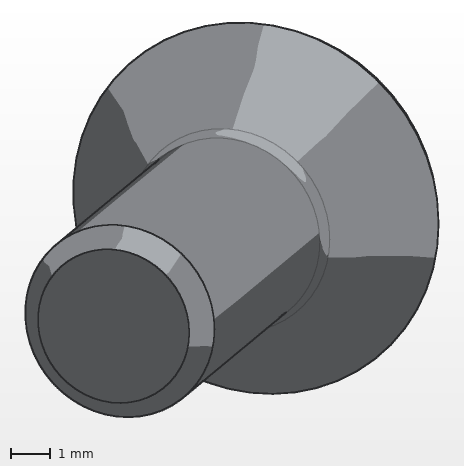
import cadquery as cq
import math

length = 12.0
head_diameter = 9.66
shank_diameter = 5.0
rim_height = 0.37
rim_inset = 0.13
cone_half_angle = 45.0
neck_radius = 0.5
tip_chamfer = 0.5

head_radius = head_diameter / 2
shank_radius = shank_diameter / 2
cone_angle = math.radians(cone_half_angle)

cone_height = (head_radius - shank_radius) / math.tan(cone_angle)
neck_end_y = -(rim_height + cone_height + neck_radius * math.tan(cone_angle / 2))
neck_center_radius = shank_radius + neck_radius


def neck_point(angle):
    """Point on the neck arc, with the angle measured from its shank end."""
    return (
        neck_center_radius - neck_radius * math.cos(angle),
        neck_end_y + neck_radius * math.sin(angle),
    )


result = (
    cq.Workplane("XY")
    .moveTo(0, 0)
    .lineTo(head_radius - rim_inset, 0)
    .lineTo(head_radius, -rim_height)
    .lineTo(*neck_point(cone_angle))
    .threePointArc(neck_point(cone_angle / 2), neck_point(0))
    .lineTo(shank_radius, -length + tip_chamfer)
    .lineTo(shank_radius - tip_chamfer, -length)
    .lineTo(0, -length)
    .close()
    .revolve(360, (0, 0, 0), (0, 1, 0))
)